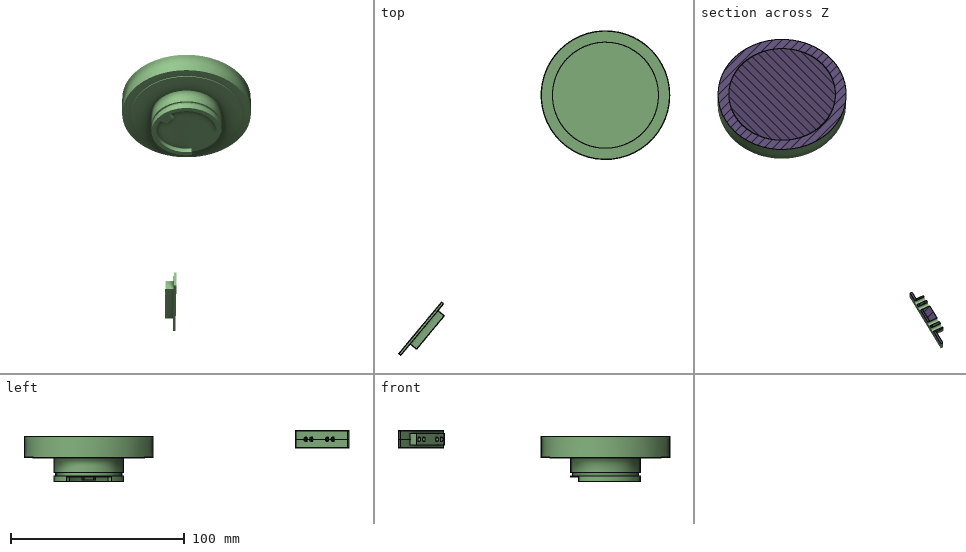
import cadquery as cq
import math


CAP_RADIUS = 37.0
CAP_HEIGHT = 12.0
CAP_TOP_Z = 26.0
CAP_BOTTOM_Z = CAP_TOP_Z - CAP_HEIGHT
CAP_SKIN = 0.35

CORE_RADIUS = 30.5
CORE_TOP_Z = CAP_TOP_Z - CAP_SKIN
FOOT_RADIUS = 32.0
FOOT_HEIGHT = 0.4
FOOT_BOTTOM_Z = CAP_BOTTOM_Z - FOOT_HEIGHT
NECK_RADIUS = 20.1
GROOVE_RADIUS = 19.1
GROOVE_TOP_Z = 5.2
GROOVE_BOTTOM_Z = 3.4
COLLAR_HEIGHT = 2.8
COLLAR_INNER_RADIUS = 17.4
COLLAR_GAP_DIRECTION = 180.0
COLLAR_GAP_ANGLE = 80.0
LUG_INNER_RADIUS = 12.5
LUG_DIRECTION = 0.0
LUG_ANGLE = 26.0
LUG_BOTTOM_Z = 0.9

STRIP_LENGTH = 38.6
STRIP_THICKNESS = 1.5
STRIP_HEIGHT = 5.0
STRIPS_TOP_Z = 29.38
JOINT_Z = STRIPS_TOP_Z - STRIP_HEIGHT
CONNECTOR_ANGLE = 50.3
CONNECTOR_X_MIN = -118.88
CONNECTOR_Y_MIN = -149.63
BLOCK_LENGTH = 25.0
BLOCK_DEPTH = 4.75
BLOCK_HEIGHT = 6.4
BLOCK_CENTRE = STRIP_LENGTH / 2 + 1.75
HOLE_DIAMETER = 2.4
INNER_HOLE_OFFSET = 5.9
OUTER_HOLE_OFFSET = 10.1
HOLE_OFFSETS = (-OUTER_HOLE_OFFSET, -INNER_HOLE_OFFSET, INNER_HOLE_OFFSET, OUTER_HOLE_OFFSET)


def disc(radius, bottom_z, top_z):
    """Cylinder on the dial axis between two heights."""
    return cq.Workplane("XY").workplane(offset=bottom_z).circle(radius).extrude(top_z - bottom_z)


def sector(inner_radius, outer_radius, direction, span, bottom_z, top_z):
    """Piece of a ring spanning an angle centred on a direction, both in degrees."""
    def point(radius, turn):
        angle = math.radians(direction + turn)
        return (radius * math.cos(angle), radius * math.sin(angle))

    half = span / 2
    return (
        cq.Workplane("XY").workplane(offset=bottom_z)
        .moveTo(*point(inner_radius, -half))
        .lineTo(*point(outer_radius, -half))
        .threePointArc(point(outer_radius, 0), point(outer_radius, half))
        .lineTo(*point(inner_radius, half))
        .threePointArc(point(inner_radius, 0), point(inner_radius, -half))
        .close()
        .extrude(top_z - bottom_z)
    )


def make_cap():
    cavity = disc(CORE_RADIUS, CAP_BOTTOM_Z, CORE_TOP_Z)
    return disc(CAP_RADIUS, CAP_BOTTOM_Z, CAP_TOP_Z).cut(cavity)


def make_spindle():
    turned = (
        cq.Workplane("XZ")
        .moveTo(0, 0)
        .lineTo(NECK_RADIUS, 0)
        .lineTo(NECK_RADIUS, GROOVE_BOTTOM_Z)
        .lineTo(GROOVE_RADIUS, GROOVE_BOTTOM_Z)
        .lineTo(GROOVE_RADIUS, GROOVE_TOP_Z)
        .lineTo(NECK_RADIUS, GROOVE_TOP_Z)
        .lineTo(NECK_RADIUS, FOOT_BOTTOM_Z)
        .lineTo(FOOT_RADIUS, FOOT_BOTTOM_Z)
        .lineTo(FOOT_RADIUS, CAP_BOTTOM_Z)
        .lineTo(CORE_RADIUS, CAP_BOTTOM_Z)
        .lineTo(CORE_RADIUS, CORE_TOP_Z)
        .lineTo(0, CORE_TOP_Z)
        .close()
        .revolve(360, (0, 0, 0), (0, 1, 0))
    )
    bore = disc(COLLAR_INNER_RADIUS, 0, COLLAR_HEIGHT)
    gap = sector(
        LUG_INNER_RADIUS, 2 * NECK_RADIUS,
        COLLAR_GAP_DIRECTION, COLLAR_GAP_ANGLE, 0, COLLAR_HEIGHT,
    )
    lug = sector(
        LUG_INNER_RADIUS, (COLLAR_INNER_RADIUS + NECK_RADIUS) / 2,
        LUG_DIRECTION, LUG_ANGLE, LUG_BOTTOM_Z, COLLAR_HEIGHT,
    )
    return turned.cut(bore).cut(gap).union(lug)


def make_holes():
    """Cylinders through the block and the joint between the strips, before placing."""
    centres = [(BLOCK_CENTRE + offset, 0) for offset in HOLE_OFFSETS]
    return (
        cq.Workplane("XZ").workplane(offset=-STRIP_THICKNESS)
        .pushPoints(centres)
        .circle(HOLE_DIAMETER / 2)
        .extrude(STRIP_THICKNESS + BLOCK_DEPTH)
    )


def make_strip(centre_z):
    """Strip along X with its front face on Y = 0, at a height measured from the joint."""
    strip = cq.Workplane("XY").box(
        STRIP_LENGTH, STRIP_THICKNESS, STRIP_HEIGHT, centered=(False, False, True)
    )
    return strip.translate((0, 0, centre_z)).cut(make_holes())


def make_block():
    block = cq.Workplane("XY").box(BLOCK_LENGTH, BLOCK_DEPTH, BLOCK_HEIGHT)
    return block.translate((BLOCK_CENTRE, -BLOCK_DEPTH / 2, 0)).cut(make_holes())


def place_connector(body):
    """Turn a connector body about Z and move it beside the dial."""
    corner_x = CONNECTOR_X_MIN + STRIP_THICKNESS * math.sin(math.radians(CONNECTOR_ANGLE))
    turned = body.rotate((0, 0, 0), (0, 0, 1), CONNECTOR_ANGLE)
    return turned.translate((corner_x, CONNECTOR_Y_MIN, JOINT_Z))


cap = make_cap()
spindle = make_spindle()
strips = [place_connector(make_strip(side * STRIP_HEIGHT / 2)) for side in (-1, 1)]
block = place_connector(make_block())

result = cq.Compound.makeCompound(
    [cap.val(), spindle.val(), *[strip.val() for strip in strips], block.val()]
)